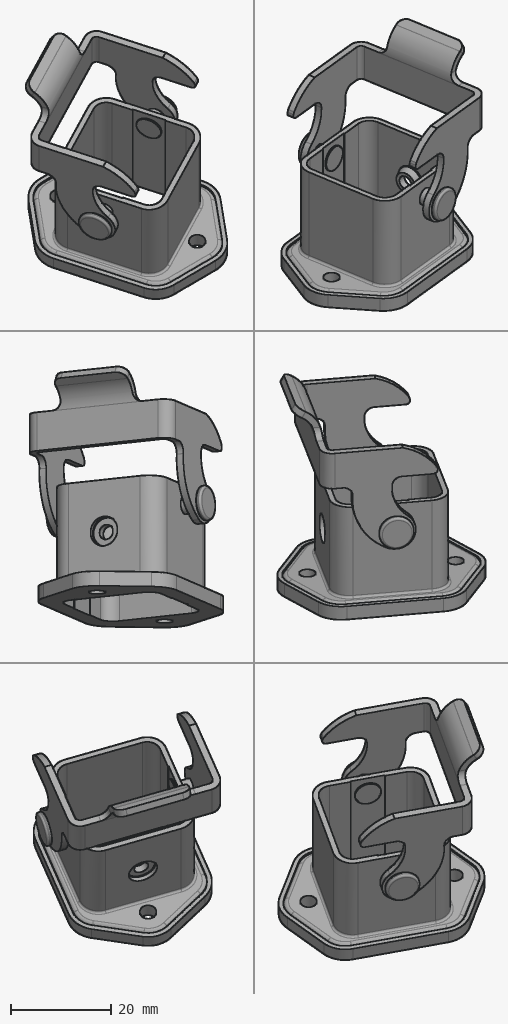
import cadquery as cq
import math

flange_length = 42.0
flange_width = 30.0
flange_thickness = 3.0
flange_corner_radius = 6.0
flange_slope_angle = 30.0
mount_hole_diameter = 3.3
mount_hole_x = flange_length / 2 - flange_corner_radius

pad_height = 0.3
rim_width = 1.0
pad_flat_inset = 1.95
pad_rounding = 1.05
pad_top = flange_thickness + pad_height

tower_width = 24.0
tower_top = 23.6
tower_wall = 1.2
tower_corner_radius = 4.0
tower_foot_fillet = 0.5
tower_half = tower_width / 2
cavity_half = tower_half - tower_wall

seat_z = 13.05
seat_bore_diameter = 6.0
seat_bore_depth = 1.0
seat_hole_diameter = 3.0
seat_boss_root_diameter = 5.8
seat_boss_tip_diameter = 4.55
seat_boss_length = 1.48

pivot_z = 19.5
pin_diameter = 3.62
pin_cap_diameter = 7.03
pin_cap_thickness = 1.2
pin_cap_fillet = 0.5
pin_head_diameter = 5.35
pin_head_thickness = 0.3
pin_groove_depth = 0.2

strap_thickness = 1.5
lever_width = 32.1
lever_back_x = -15.05
lever_top = 38.05
lever_band_bottom = 30.15
lever_bend_radius = 2.6
lever_fillet = 2.0
lever_half = lever_width / 2

lobe_radius = 4.03
neck_back_x = -8.75
neck_back_radius = 12.55
neck_front_x = -0.8
neck_front_radius = 8.35
hook_bottom = 31.65
hook_top_x = 1.45
hook_tip_x = 8.9
hook_nose_x = 8.2
hook_nose_z = 33.4
hook_crown_radius = 12.55
hook_tip_radius = 0.9

tab_width = 16.0
tab_bend_radius = 6.55
tab_bend_angle = 60.0
tab_corner_radius = 2.0
overall_height = 44.75

selection_margin = 0.05


def flange_outline(inset):
    """Six-sided outline, moved inwards by inset, with sharp corners."""
    slope = math.radians(flange_slope_angle)
    side_y = flange_width / 2 - inset
    apex_x = mount_hole_x + (flange_corner_radius - inset) / math.cos(slope)
    shoulder_x = apex_x - side_y * math.tan(slope)
    return [
        (apex_x, 0),
        (shoulder_x, side_y),
        (-shoulder_x, side_y),
        (-apex_x, 0),
        (-shoulder_x, -side_y),
        (shoulder_x, -side_y),
    ]


def flange_slab(inset, bottom, top):
    slab = cq.Workplane("XY").workplane(offset=bottom).polyline(flange_outline(inset)).close()
    return slab.extrude(top - bottom).edges("|Z").fillet(flange_corner_radius - inset)


def rounded_square(width, corner_radius, bottom, top):
    square = cq.Workplane("XY").workplane(offset=bottom).rect(width, width)
    return square.extrude(top - bottom).edges("|Z").fillet(corner_radius)


def cylinder_y(diameter, start_y, end_y):
    """Cylinder on the pivot axis between two Y positions."""
    plane = cq.Workplane("XZ", origin=(0, start_y, pivot_z))
    return plane.circle(diameter / 2).extrude(start_y - end_y)


def cone_x(start_diameter, end_diameter, start_x, length):
    """Cone or cylinder on the screw seat axis, growing towards +X."""
    axis = cq.Vector(1, 0, 0)
    base = cq.Vector(start_x, 0, seat_z)
    if start_diameter == end_diameter:
        return cq.Workplane(cq.Solid.makeCylinder(start_diameter / 2, length, base, axis))
    return cq.Workplane(cq.Solid.makeCone(start_diameter / 2, end_diameter / 2, length, base, axis))


def make_housing():
    recess = flange_slab(rim_width, pad_top - pad_rounding, flange_thickness)
    rim_plate = flange_slab(0, 0, flange_thickness).cut(recess)
    pad = flange_slab(pad_flat_inset - pad_rounding, 0, pad_top).faces(">Z").edges().fillet(pad_rounding)
    tower = rounded_square(tower_width, tower_corner_radius, 0, tower_top)
    housing = rim_plate.union(pad).union(tower)

    reach = tower_half + selection_margin
    foot_edges = cq.selectors.BoxSelector(
        (-reach, -reach, pad_top - selection_margin),
        (reach, reach, pad_top + selection_margin),
        boundingbox=True,
    )
    housing = housing.edges(foot_edges).fillet(tower_foot_fillet)

    cavity = rounded_square(2 * cavity_half, tower_corner_radius - tower_wall, 0, tower_top)
    groove_span = 2 * (cavity_half + pin_groove_depth)
    grooves = cq.Workplane("XY").rect(pin_cap_diameter, groove_span).extrude(tower_top)
    mount_holes = (
        cq.Workplane("XY")
        .pushPoints([(-mount_hole_x, 0), (mount_hole_x, 0)])
        .circle(mount_hole_diameter / 2)
        .extrude(pad_top)
    )
    return housing.cut(cavity).cut(grooves).cut(mount_holes)


def add_screw_seat(housing):
    boss = cone_x(seat_boss_root_diameter, seat_boss_tip_diameter, -cavity_half, seat_boss_length)
    bore = cone_x(seat_bore_diameter, seat_bore_diameter, -tower_half, seat_bore_depth)
    hole = cone_x(seat_hole_diameter, seat_hole_diameter, -tower_half, tower_wall + seat_boss_length)
    return housing.union(boss).cut(bore).cut(hole)


def make_pin():
    """Pin on the +Y side, with its cap outside the arm and its head inside the tower."""
    groove_y = cavity_half + pin_groove_depth
    shaft = cylinder_y(pin_diameter, groove_y, lever_half)
    cap = cylinder_y(pin_cap_diameter, lever_half, lever_half + pin_cap_thickness)
    cap = cap.edges().fillet(pin_cap_fillet)
    head = cylinder_y(pin_head_diameter, groove_y - pin_head_thickness, groove_y)
    return shaft.union(cap).union(head)


def arc_middle(start, end, radius):
    """Point halfway along the short arc bulging to the left of start -> end."""
    dx = end[0] - start[0]
    dz = end[1] - start[1]
    chord = math.hypot(dx, dz)
    sagitta = radius - math.sqrt(radius ** 2 - (chord / 2) ** 2)
    return (
        (start[0] + end[0]) / 2 - dz / chord * sagitta,
        (start[1] + end[1]) / 2 + dx / chord * sagitta,
    )


def make_arm_blank():
    """Side profile of both arms, as a prism across the whole lever width."""
    back_centre_x = neck_back_x + neck_back_radius
    back_distance = neck_back_radius - lobe_radius
    back_centre_z = pivot_z + math.sqrt(back_distance ** 2 - back_centre_x ** 2)
    front_centre_x = neck_front_x + neck_front_radius
    front_distance = neck_front_radius + lobe_radius
    front_centre_z = pivot_z + math.sqrt(front_distance ** 2 - front_centre_x ** 2)

    hook_top = (hook_top_x, lever_top)
    hook_nose = (hook_nose_x, hook_nose_z)
    hook_tip = (hook_tip_x, hook_bottom)
    front_rise = hook_bottom - front_centre_z
    neck_front = (front_centre_x - math.sqrt(neck_front_radius ** 2 - front_rise ** 2), hook_bottom)
    back_rise = lever_band_bottom - back_centre_z
    neck_back = (back_centre_x - math.sqrt(neck_back_radius ** 2 - back_rise ** 2), lever_band_bottom)

    front_lobe = (
        front_centre_x * lobe_radius / front_distance,
        pivot_z + (front_centre_z - pivot_z) * lobe_radius / front_distance,
    )
    back_lobe = (
        -back_centre_x * lobe_radius / back_distance,
        pivot_z - (back_centre_z - pivot_z) * lobe_radius / back_distance,
    )
    start_angle = math.atan2(front_lobe[1] - pivot_z, front_lobe[0])
    end_angle = math.atan2(back_lobe[1] - pivot_z, back_lobe[0])
    middle_angle = (start_angle + end_angle) / 2
    lobe_middle = (
        lobe_radius * math.cos(middle_angle),
        pivot_z + lobe_radius * math.sin(middle_angle),
    )

    blank = (
        cq.Workplane("XZ", origin=(0, lever_half, 0))
        .moveTo(lever_back_x, lever_top)
        .lineTo(*hook_top)
        .threePointArc(arc_middle(hook_top, hook_nose, hook_crown_radius), hook_nose)
        .lineTo(*hook_tip)
        .lineTo(*neck_front)
        .threePointArc(arc_middle(front_lobe, neck_front, neck_front_radius), front_lobe)
        .threePointArc(lobe_middle, back_lobe)
        .threePointArc(arc_middle(back_lobe, neck_back, neck_back_radius), neck_back)
        .lineTo(lever_back_x, lever_band_bottom)
        .close()
        .extrude(lever_width)
    )

    def edge_at(point):
        return cq.selectors.NearestToPointSelector((point[0], 0, point[1]))

    for corner in (neck_front, neck_back):
        blank = blank.edges("|Y").edges(edge_at(corner)).fillet(lever_fillet)
    return blank.edges("|Y").edges(edge_at(hook_tip)).fillet(hook_tip_radius)


def make_strap():
    """U-shaped strap, open towards +X, reaching from below the lobes to the lever top."""

    def bent_block(back_x, half_width, bend_radius):
        block = cq.Workplane("XY").box(
            hook_tip_x - back_x, 2 * half_width, lever_top, centered=(False, True, False)
        )
        return block.translate((back_x, 0, 0)).edges("|Z and <X").fillet(bend_radius)

    outside = bent_block(lever_back_x, lever_half, lever_bend_radius)
    inside = bent_block(
        lever_back_x + strap_thickness,
        lever_half - strap_thickness,
        lever_bend_radius - strap_thickness,
    )
    return outside.cut(inside)


def make_tab():
    """Curled tab rising from the back of the strap, with flared foot and rounded tip corners."""
    angle = math.radians(tab_bend_angle)
    outer_x = lever_back_x + strap_thickness
    inner_radius = tab_bend_radius - strap_thickness
    centre_x = outer_x - tab_bend_radius
    straight_rise = overall_height - lever_top - tab_bend_radius * math.sin(angle)
    straight_length = straight_rise / math.cos(angle)

    def curl_point(radius, turn, beyond=0.0):
        return (
            centre_x + radius * math.cos(turn) - beyond * math.sin(turn),
            lever_top + radius * math.sin(turn) + beyond * math.cos(turn),
        )

    foot_width = tab_width + 2 * tab_corner_radius
    curl = (
        cq.Workplane("XZ", origin=(0, foot_width / 2, 0))
        .moveTo(*curl_point(tab_bend_radius, 0))
        .threePointArc(curl_point(tab_bend_radius, angle / 2), curl_point(tab_bend_radius, angle))
        .lineTo(*curl_point(tab_bend_radius, angle, straight_length))
        .lineTo(*curl_point(inner_radius, angle, straight_length))
        .lineTo(*curl_point(inner_radius, angle))
        .threePointArc(curl_point(inner_radius, angle / 2), curl_point(inner_radius, 0))
        .close()
        .extrude(foot_width)
    )

    half = tab_width / 2
    foot_half = foot_width / 2
    foot_top = lever_top + tab_corner_radius
    silhouette = (
        cq.Workplane("YZ", origin=(centre_x, 0, 0))
        .moveTo(-foot_half, lever_top)
        .radiusArc((-half, foot_top), -tab_corner_radius)
        .lineTo(-half, overall_height)
        .lineTo(half, overall_height)
        .lineTo(half, foot_top)
        .radiusArc((foot_half, lever_top), -tab_corner_radius)
        .close()
        .extrude(tab_bend_radius)
    )
    tab = curl.intersect(silhouette)
    tip_direction = cq.Vector(math.cos(angle), 0, math.sin(angle))
    across_thickness = cq.selectors.ParallelDirSelector(tip_direction)
    return tab.edges(across_thickness).edges("<X").fillet(tab_corner_radius)


lever = make_strap().intersect(make_arm_blank()).union(make_tab())
pin = make_pin()
result = add_screw_seat(make_housing()).union(lever).union(pin).union(pin.mirror("XZ"))